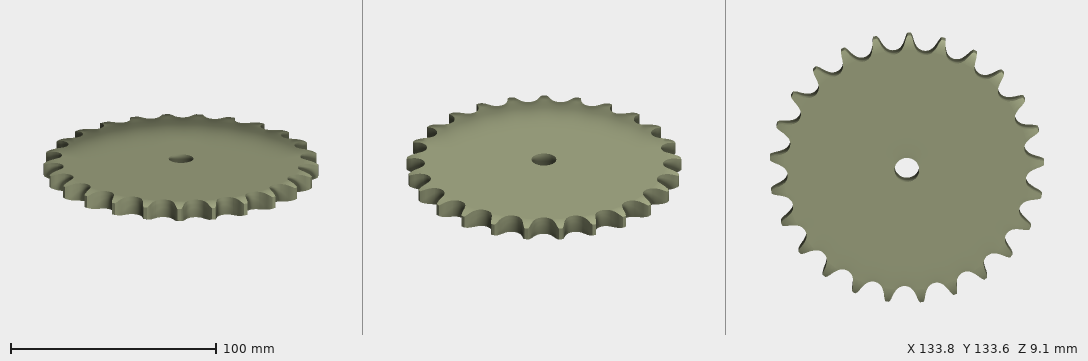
import cadquery as cq
import math


TOOTH_COUNT = 25
PITCH_DIAMETER = 126.6
OUTER_DIAMETER = 134.0
ROLLER_DIAMETER = 10.2
SEATING_CLEARANCE = 0.037
THICKNESS = 9.1
BORE_DIAMETER = 12.0
FLAT_FACE_RADIUS = 60.1
SIDE_RELIEF_RADIUS = 16.0
TIP_ARC_SWEEP = math.radians(30)

outer_radius = OUTER_DIAMETER / 2
pitch_radius = PITCH_DIAMETER / 2
half_thickness = THICKNESS / 2

seat_radius = 0.5025 * ROLLER_DIAMETER + SEATING_CLEARANCE
working_radius = 1.3025 * ROLLER_DIAMETER + SEATING_CLEARANCE
working_start = math.radians(35 + 60 / TOOTH_COUNT)
working_sweep = math.radians(18 - 56 / TOOTH_COUNT)
tip_angle = math.radians(17 - 64 / TOOTH_COUNT)
flank_angle = working_start - working_sweep
flank_length = ROLLER_DIAMETER * (1.4 * math.sin(tip_angle) - 0.8 * math.sin(working_sweep))
tip_radius = (
    ROLLER_DIAMETER * (0.8 * math.cos(working_sweep) + 1.4 * math.cos(tip_angle) - 1.3025)
    - SEATING_CLEARANCE
)


def side_relief_drop(radius):
    """Depth of the curved tooth side below the flat face at a given radius."""
    run = radius - FLAT_FACE_RADIUS
    return SIDE_RELIEF_RADIUS - math.sqrt(SIDE_RELIEF_RADIUS**2 - run**2)


def make_blank():
    """Solid disc whose rim is thinned by a curved relief on both faces."""
    middle_radius = (FLAT_FACE_RADIUS + outer_radius) / 2
    middle_z = half_thickness - side_relief_drop(middle_radius)
    rim_z = half_thickness - side_relief_drop(outer_radius)
    return (
        cq.Workplane("XZ")
        .moveTo(0, -half_thickness)
        .lineTo(FLAT_FACE_RADIUS, -half_thickness)
        .threePointArc((middle_radius, -middle_z), (outer_radius, -rim_z))
        .lineTo(outer_radius, rim_z)
        .threePointArc((middle_radius, middle_z), (FLAT_FACE_RADIUS, half_thickness))
        .lineTo(0, half_thickness)
        .close()
        .revolve(360, (0, 0), (0, 1))
    )


def point_on_arc(center, radius, angle):
    """Point on a circle, with the angle measured from +X."""
    return (center[0] + radius * math.cos(angle), center[1] + radius * math.sin(angle))


def mirrored(point):
    return (-point[0], point[1])


def make_gap():
    """Cutter for one tooth gap, centred on the +Y axis."""
    seat_center = (0, pitch_radius)
    seat_bottom = (0, pitch_radius - seat_radius)
    seat_end = point_on_arc(seat_center, seat_radius, -working_start)

    working_center = point_on_arc(seat_end, working_radius, math.pi - working_start)
    working_middle = point_on_arc(
        working_center, working_radius, -working_start + working_sweep / 2
    )
    working_end = point_on_arc(working_center, working_radius, -flank_angle)

    flank_end = point_on_arc(working_end, flank_length, math.pi / 2 - flank_angle)

    tip_center = point_on_arc(flank_end, tip_radius, -flank_angle)
    tip_start = math.pi - flank_angle
    tip_middle = point_on_arc(tip_center, tip_radius, tip_start - TIP_ARC_SWEEP / 2)
    tip_end = point_on_arc(tip_center, tip_radius, tip_start - TIP_ARC_SWEEP)

    return (
        cq.Workplane("XY", origin=(0, 0, -half_thickness))
        .moveTo(*seat_bottom)
        .radiusArc(seat_end, -seat_radius)
        .threePointArc(working_middle, working_end)
        .lineTo(*flank_end)
        .threePointArc(tip_middle, tip_end)
        .lineTo(*mirrored(tip_end))
        .threePointArc(mirrored(tip_middle), mirrored(flank_end))
        .lineTo(*mirrored(working_end))
        .threePointArc(mirrored(working_middle), mirrored(seat_end))
        .radiusArc(seat_bottom, -seat_radius)
        .close()
        .extrude(THICKNESS)
    )


def make_bore():
    """Cutter for the plain through bore."""
    return (
        cq.Workplane("XY", origin=(0, 0, -half_thickness))
        .circle(BORE_DIAMETER / 2)
        .extrude(THICKNESS)
    )


result = make_blank().cut(make_bore())
gap = make_gap()
for index in range(TOOTH_COUNT):
    gap_rotation = 360 * index / TOOTH_COUNT
    result = result.cut(gap.rotate((0, 0, 0), (0, 0, 1), gap_rotation))